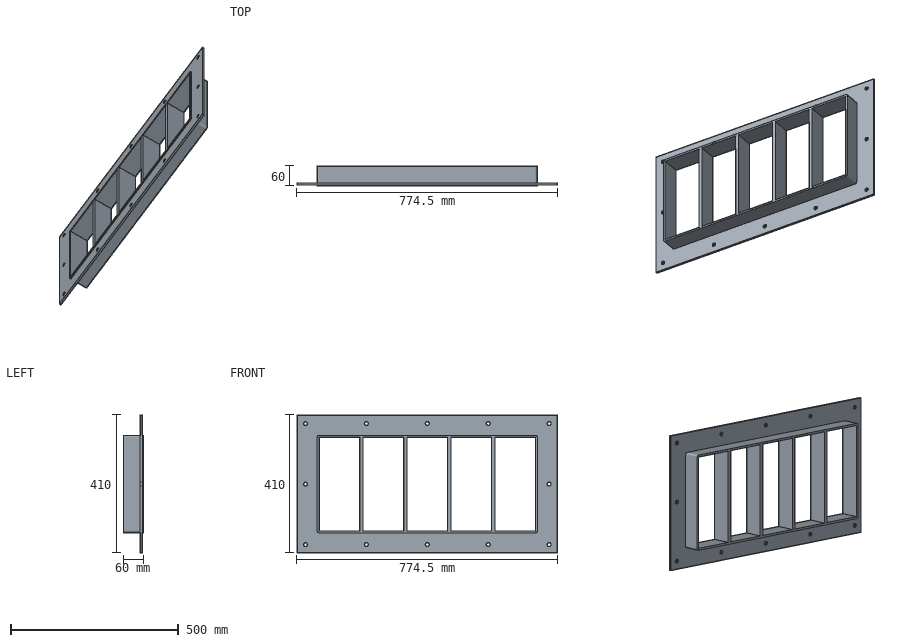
import cadquery as cq

plate_length = 774.5
plate_height = 410.0
plate_thickness = 6.0

frame_length = 655.0
frame_height = 290.5
frame_depth = 60.0
frame_lip = 3.0
frame_corner_radius = 6.0
frame_wall = 6.0

window_count = 5
divider_width = 11.0
window_height = frame_height - 2 * frame_wall
inner_length = frame_length - 2 * frame_wall
window_width = (inner_length - (window_count - 1) * divider_width) / window_count
window_pitch = window_width + divider_width

hole_diameter = 11.0
hole_edge_distance = 25.0
hole_columns = 5
hole_rows = 3
hole_pitch_x = (plate_length - 2 * hole_edge_distance) / (hole_columns - 1)
hole_pitch_z = (plate_height - 2 * hole_edge_distance) / (hole_rows - 1)


def centered_positions(count, pitch):
    """Evenly spaced coordinates, symmetric about zero."""
    return [(i - (count - 1) / 2) * pitch for i in range(count)]


def block(length, depth, height, front_y):
    """Box centered in X and Z whose front face lies at front_y."""
    return cq.Workplane("XY").box(length, depth, height).translate((0, front_y + depth / 2, 0))


def border_points():
    """Hole centers in the outermost columns and rows of the hole grid."""
    columns = centered_positions(hole_columns, hole_pitch_x)
    rows = centered_positions(hole_rows, hole_pitch_z)
    return [
        (x, z)
        for x in columns
        for z in rows
        if x in (columns[0], columns[-1]) or z in (rows[0], rows[-1])
    ]


plate = block(plate_length, plate_thickness, plate_height, frame_lip)
hole_cutter = (
    cq.Workplane("XZ")
    .pushPoints(border_points())
    .circle(hole_diameter / 2)
    .extrude(-frame_depth)
)

frame = block(frame_length, frame_depth, frame_height, 0).edges("|Y").fillet(frame_corner_radius)
window_cutter = (
    cq.Workplane("XZ")
    .pushPoints([(x, 0) for x in centered_positions(window_count, window_pitch)])
    .rect(window_width, window_height)
    .extrude(-frame_depth)
)

result = plate.cut(hole_cutter).union(frame).cut(window_cutter)